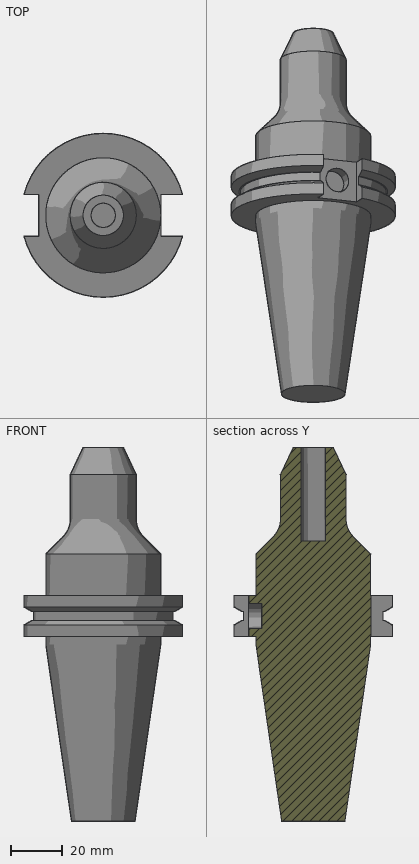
import cadquery as cq
import math

gauge_radius = 22.2
gauge_height = 68.2
taper_ratio = 7 / 24
shank_end_radius = gauge_radius - gauge_height * taper_ratio / 2

flange_diameter = 63.4
flange_radius = flange_diameter / 2
flange_thickness = 15.9
flange_offset = 3.2
flange_bottom = gauge_height + flange_offset
flange_top = flange_bottom + flange_thickness
flange_middle = flange_bottom + flange_thickness / 2
groove_mouth_width = 7.0
groove_floor_width = 3.5
groove_wall_radius = 28.7
groove_floor_radius = 28.2

total_height = 144.5
shoulder_height = 103.3
neck_diameter = 25.5
neck_radius = neck_diameter / 2
tip_radius = 7.8
tip_length = 10.5
fillet_radius = 9.5
shoulder_cone_angle = math.radians(45)

slot_width = 16.0
slot_floor_left = 25.0
slot_floor_right = 22.4

hole_diameter = 9.4
bore_depth = 36.1
side_hole_depth = 5.0


def turned_body():
    """Revolve the half profile, drawn as (radius, height), about Z."""
    mouth_low = flange_middle - groove_mouth_width / 2
    mouth_high = flange_middle + groove_mouth_width / 2
    floor_low = flange_middle - groove_floor_width / 2
    floor_high = flange_middle + groove_floor_width / 2

    def fillet_point(angle):
        """Offset along the fillet, turned by angle from its tangent point on the neck."""
        radius = neck_radius + fillet_radius * (1 - math.cos(angle))
        drop = fillet_radius * math.sin(angle)
        return radius, drop

    cone_top_radius, fillet_drop = fillet_point(shoulder_cone_angle)
    cone_rise = (gauge_radius - cone_top_radius) * math.tan(shoulder_cone_angle)
    cone_top = shoulder_height + cone_rise
    fillet_top = cone_top + fillet_drop
    middle_radius, middle_drop = fillet_point(shoulder_cone_angle / 2)

    profile = (
        cq.Workplane("XZ")
        .moveTo(0, 0)
        .lineTo(shank_end_radius, 0)
        .lineTo(gauge_radius, gauge_height)
        .lineTo(gauge_radius, flange_bottom)
        .lineTo(flange_radius, flange_bottom)
        .lineTo(flange_radius, mouth_low)
        .lineTo(groove_wall_radius, floor_low)
        .lineTo(groove_floor_radius, floor_low)
        .lineTo(groove_floor_radius, floor_high)
        .lineTo(groove_wall_radius, floor_high)
        .lineTo(flange_radius, mouth_high)
        .lineTo(flange_radius, flange_top)
        .lineTo(gauge_radius, flange_top)
        .lineTo(gauge_radius, shoulder_height)
        .lineTo(cone_top_radius, cone_top)
        .threePointArc((middle_radius, fillet_top - middle_drop), (neck_radius, fillet_top))
        .lineTo(neck_radius, total_height - tip_length)
        .lineTo(tip_radius, total_height)
        .lineTo(0, total_height)
        .close()
    )
    return profile.revolve(360, (0, 0, 0), (0, 1, 0))


def drive_slot(floor_distance, side):
    """Cutter for a slot on one side of the flange: side is -1 for -X, +1 for +X."""
    depth = flange_radius - floor_distance
    center_x = side * (floor_distance + depth / 2)
    return cq.Workplane("XY").box(depth, slot_width, flange_thickness).translate((center_x, 0, flange_middle))


def tip_bore():
    """Cutter for the blind bore in the end of the nose."""
    return cq.Workplane("XY", origin=(0, 0, total_height)).circle(hole_diameter / 2).extrude(-bore_depth)


def side_hole():
    """Cutter for the blind radial hole in the floor of the -X slot."""
    floor_center = (-slot_floor_left, 0, flange_middle)
    return cq.Workplane("YZ", origin=floor_center).circle(hole_diameter / 2).extrude(side_hole_depth)


result = (
    turned_body()
    .cut(drive_slot(slot_floor_left, -1))
    .cut(drive_slot(slot_floor_right, 1))
    .cut(tip_bore())
    .cut(side_hole())
)